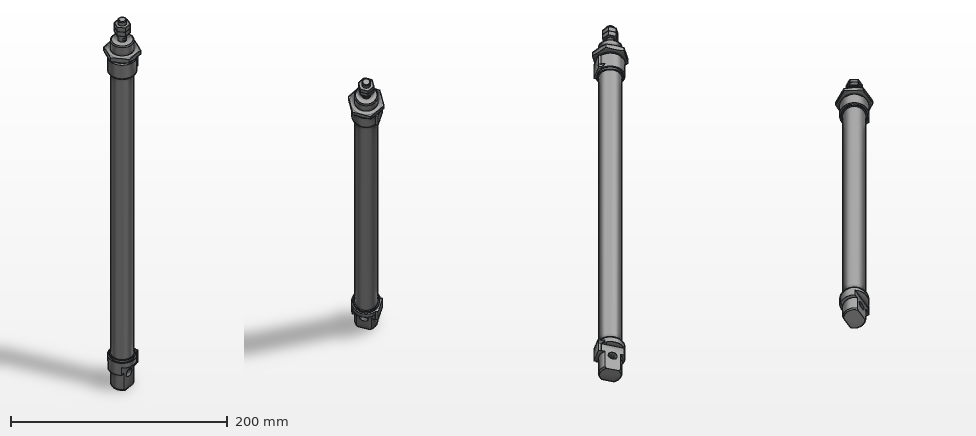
import cadquery as cq
import math

TOTAL_LENGTH = 432.0

TUBE_DIA = 21.5
CAP_DIA = 27.0
CAP_LIP_DIA = 24.0
CAP_LIP_HEIGHT = 2.0

TANG_DIA = TUBE_DIA
TANG_THICKNESS = 16.0
TANG_TIP_DIA = 20.0
TANG_CHAMFER_HEIGHT = 1.7
PIN_HOLE_DIA = 8.0
PIN_HOLE_Z = 17.3

REAR_CAP_BOTTOM = 20.7
REAR_CAP_TOP = 37.0
TANG_FLAT_TOP = 29.5

FRONT_CAP_BOTTOM = 370.2
FRONT_CAP_TOP = 388.5
COLLAR_DIA = 22.0
COLLAR_TIP_DIA = 20.0
COLLAR_CHAMFER_HEIGHT = 1.1
COLLAR_TOP = 408.2

BOSS_WIDTH = 15.0
SCREW_HOLE_DIA = 3.5
SCREW_HOLE_X = -8.5
SCREW_HOLE_FLOOR_Y = 6.5
SCREW_HOLE_INSET = 5.5

ROD_DIA = 8.0
ROD_TIP_DIA = 6.5
ROD_BOTTOM = FRONT_CAP_BOTTOM
WRENCH_FLAT_GAP = 6.0
WRENCH_FLAT_TOP = 412.0

COLLAR_NUT_CORNERS = 34.5
COLLAR_NUT_FLATS = COLLAR_NUT_CORNERS * math.cos(math.pi / 6)
COLLAR_NUT_HEIGHT = 5.0
COLLAR_NUT_BOTTOM = 392.3
ROD_NUT_FLATS = 13.0
ROD_NUT_HEIGHT = 5.0
ROD_NUT_COUNT = 2
ROD_NUTS_TOP = 427.2
NUT_CHAMFER_ANGLE = 15.0

CUT_SIZE = 43.0


def cylinder(diameter, bottom, top):
    return cq.Workplane("XY").workplane(offset=bottom).circle(diameter / 2).extrude(top - bottom)


def cone(bottom_dia, top_dia, bottom, top):
    lower = cq.Workplane("XY").workplane(offset=bottom).circle(bottom_dia / 2)
    return lower.workplane(offset=top - bottom).circle(top_dia / 2).loft()


def outside_flats(gap, bottom, top):
    """Two blocks whose inner faces lie at x = -gap / 2 and x = +gap / 2."""
    height = top - bottom
    block = cq.Workplane("XY").workplane(offset=bottom).rect(CUT_SIZE, CUT_SIZE).extrude(height)
    core = cq.Workplane("XY").workplane(offset=bottom).rect(gap, CUT_SIZE).extrude(height)
    return block.cut(core)


def port_boss(bottom, top):
    depth = CAP_DIA / 2
    boss = cq.Workplane("XY").workplane(offset=bottom).center(0, depth / 2)
    return boss.rect(BOSS_WIDTH, depth).extrude(top - bottom)


def screw_hole(z):
    """Blind hole parallel to Y that cuts into the edge of the port boss."""
    start = cq.Vector(SCREW_HOLE_X, SCREW_HOLE_FLOOR_Y, z)
    return cq.Workplane(cq.Solid.makeCylinder(SCREW_HOLE_DIA / 2, CAP_DIA / 2, start, cq.Vector(0, 1, 0)))


def make_rear_cap():
    shoulder = REAR_CAP_TOP - CAP_LIP_HEIGHT
    cap = cylinder(CAP_DIA, REAR_CAP_BOTTOM, shoulder)
    cap = cap.union(cylinder(CAP_LIP_DIA, shoulder, REAR_CAP_TOP))
    cap = cap.union(port_boss(REAR_CAP_BOTTOM, shoulder))
    cap = cap.union(cone(TANG_TIP_DIA, TANG_DIA, 0, TANG_CHAMFER_HEIGHT))
    cap = cap.union(cylinder(TANG_DIA, TANG_CHAMFER_HEIGHT, REAR_CAP_BOTTOM))
    cap = cap.cut(outside_flats(TANG_THICKNESS, 0, TANG_FLAT_TOP))
    pin_hole = cq.Workplane("YZ").center(0, PIN_HOLE_Z).circle(PIN_HOLE_DIA / 2)
    cap = cap.cut(pin_hole.extrude(CUT_SIZE / 2, both=True))
    return cap.cut(screw_hole(REAR_CAP_TOP - SCREW_HOLE_INSET))


def make_front_cap():
    shoulder = FRONT_CAP_BOTTOM + CAP_LIP_HEIGHT
    collar_shoulder = COLLAR_TOP - COLLAR_CHAMFER_HEIGHT
    cap = cylinder(CAP_LIP_DIA, FRONT_CAP_BOTTOM, shoulder)
    cap = cap.union(cylinder(CAP_DIA, shoulder, FRONT_CAP_TOP))
    cap = cap.union(port_boss(shoulder, FRONT_CAP_TOP))
    cap = cap.union(cylinder(COLLAR_DIA, FRONT_CAP_TOP, collar_shoulder))
    cap = cap.union(cone(COLLAR_DIA, COLLAR_TIP_DIA, collar_shoulder, COLLAR_TOP))
    return cap.cut(screw_hole(FRONT_CAP_BOTTOM + SCREW_HOLE_INSET))


def make_housing():
    tube = cylinder(TUBE_DIA, REAR_CAP_TOP, FRONT_CAP_BOTTOM)
    housing = tube.union(make_rear_cap()).union(make_front_cap())
    return housing.cut(cylinder(ROD_DIA, ROD_BOTTOM, COLLAR_TOP))


def make_piston_rod():
    chamfer = (ROD_DIA - ROD_TIP_DIA) / 2
    rod = cylinder(ROD_DIA, ROD_BOTTOM, TOTAL_LENGTH).faces(">Z").chamfer(chamfer)
    return rod.cut(outside_flats(WRENCH_FLAT_GAP, COLLAR_TOP, WRENCH_FLAT_TOP))


def make_hex_nut(across_flats, bore, height, bottom):
    """Hexagon nut whose corners are chamfered to the across-flats circle at both ends."""
    across_corners = across_flats / math.cos(math.pi / 6)
    chamfer_height = (across_corners - across_flats) / 2 * math.tan(math.radians(NUT_CHAMFER_ANGLE))
    top = bottom + height
    nut = cq.Workplane("XY").workplane(offset=bottom).transformed(rotate=(0, 0, 90))
    nut = nut.polygon(6, across_corners).extrude(height)
    envelope = cone(across_flats, across_corners, bottom, bottom + chamfer_height)
    envelope = envelope.union(cylinder(across_corners, bottom + chamfer_height, top - chamfer_height))
    envelope = envelope.union(cone(across_corners, across_flats, top - chamfer_height, top))
    return nut.intersect(envelope).cut(cylinder(bore, bottom, top))


housing = make_housing()
piston_rod = make_piston_rod()
collar_nut = make_hex_nut(COLLAR_NUT_FLATS, COLLAR_DIA, COLLAR_NUT_HEIGHT, COLLAR_NUT_BOTTOM)

rod_nuts = []
for level in range(1, ROD_NUT_COUNT + 1):
    nut_bottom = ROD_NUTS_TOP - level * ROD_NUT_HEIGHT
    rod_nut = make_hex_nut(ROD_NUT_FLATS, ROD_DIA, ROD_NUT_HEIGHT, nut_bottom)
    rod_nuts.append(rod_nut.val())

result = cq.Compound.makeCompound([housing.val(), piston_rod.val(), collar_nut.val(), *rod_nuts])